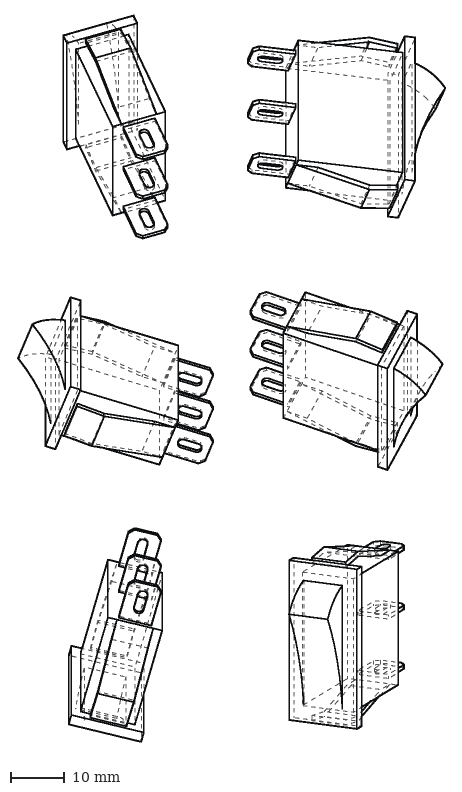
import cadquery as cq


bezel_thickness = 2.0
bezel_width = 14.0
bezel_height = 31.1

body_depth = 20.0
body_width = 10.5
body_height = 26.0
body_back = bezel_thickness + body_depth

rocker_width = 8.0
rocker_height = 24.0
rocker_reach = 6.5
rocker_tip_z = 7.15
rocker_top_bulge = 0.73
rocker_face_hollow = 1.05

overall_length = 36.5
terminal_length = overall_length - rocker_reach - body_back
terminal_width = 6.3
terminal_thickness = 0.8
terminal_pitch = 11.57
terminal_chamfer = 1.0
slot_length = 4.67
slot_width = 1.85
slot_end_gap = 1.5

overall_height = 33.0
clip_width = 7.0
clip_peak_x = 7.95
clip_tip_x = 2.52
clip_tip_drop = 0.65
clip_rise = 1.0
clip_tip_slant = 0.1
clip_inner_root_x = 17.9


def block(x_start, depth, width, height):
    """Box starting at x_start, centred on Y and Z."""
    return cq.Workplane("XY").box(depth, width, height, centered=(False, True, True)).translate((x_start, 0, 0))


def make_rocker():
    """Rocker with a bulged upper face and a hollow pressing face."""
    half_height = rocker_height / 2
    return (
        cq.Workplane("XZ")
        .moveTo(0, half_height)
        .sagittaArc((-rocker_reach, rocker_tip_z), -rocker_top_bulge)
        .sagittaArc((0, -half_height), rocker_face_hollow)
        .close()
        .extrude(rocker_width / 2, both=True)
    )


def make_terminal(z):
    """Slotted blade with a chamfered tip, centred at height z."""
    blade = block(body_back, terminal_length, terminal_width, terminal_thickness)
    blade = blade.edges("|Z and >X").chamfer(terminal_chamfer)
    slot_x = overall_length - rocker_reach - slot_end_gap - slot_length / 2
    slot = cq.Workplane("XY").center(slot_x, 0).slot2D(slot_length, slot_width)
    slot = slot.extrude(terminal_thickness, both=True)
    return blade.cut(slot).translate((0, 0, z))


def make_upper_clip():
    """Bent spring strip that rises from the body's back edge towards the bezel."""
    peak_z = overall_height / 2
    root_z = body_height / 2
    tip_z = peak_z - clip_tip_drop
    return (
        cq.Workplane("XZ")
        .polyline([
            (body_back, root_z),
            (clip_peak_x, peak_z),
            (clip_tip_x, tip_z),
            (clip_tip_x + clip_tip_slant, tip_z - clip_rise),
            (clip_peak_x, peak_z - clip_rise),
            (clip_inner_root_x, root_z),
        ])
        .close()
        .extrude(clip_width / 2, both=True)
    )


result = block(0, bezel_thickness, bezel_width, bezel_height)
result = result.union(block(bezel_thickness, body_depth, body_width, body_height))
result = result.union(make_rocker())

for position in (-1, 0, 1):
    result = result.union(make_terminal(position * terminal_pitch))

upper_clip = make_upper_clip()
result = result.union(upper_clip).union(upper_clip.mirror("XY"))